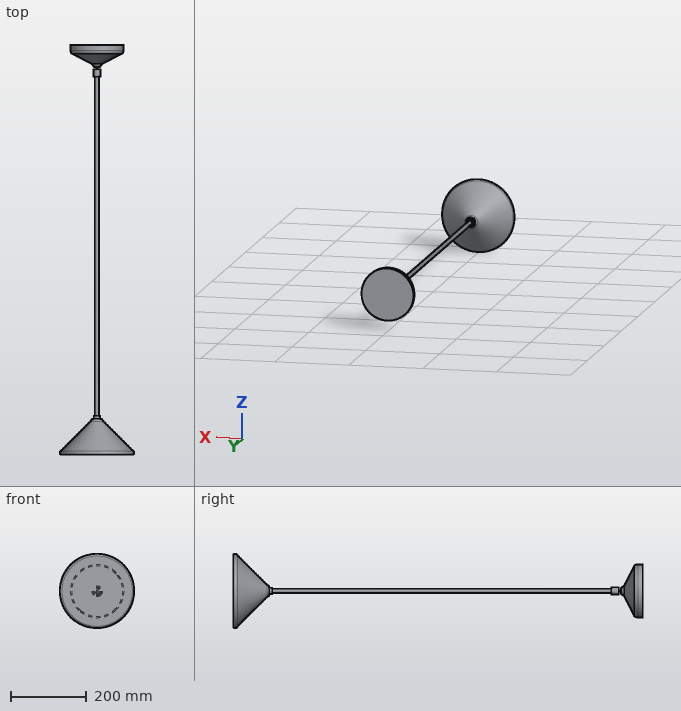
import cadquery as cq

total_length = 1082.0

shade_radius = 98.0
shade_face_radius = 93.0
rim_height = 11.0
rim_top_radius = 95.0
shoulder_start = 89.0
shoulder_radius = 17.0
shoulder_end = 95.0
shoulder_end_radius = 13.0
collar_radius = 9.0
shade_height = 104.0

rod_radius = 6.0
wire_radius = 2.0
ferrule_radius = 10.0
ferrule_length = 20.0
ferrule_depth = 83.0

canopy_radius = 70.0
drum_height = 14.0
canopy_edge_depth = 23.0
canopy_edge_radius = 67.0
nose_start_depth = 50.0
nose_start_radius = 14.0
nose_end_radius = 8.0
canopy_height = 58.0

shade_face_y = -total_length / 2
ceiling_y = total_length / 2


def turned(profile):
    """Revolve a closed (radius, y) half-profile about the lamp's Y axis."""
    return profile.close().revolve(360, (0, 0, 0), (0, 1, 0))


def cylinder(radius, start_y, end_y):
    """Solid cylinder on the Y axis between two Y positions."""
    return turned(
        cq.Workplane("XY")
        .moveTo(0, start_y)
        .lineTo(radius, start_y)
        .lineTo(radius, end_y)
        .lineTo(0, end_y)
    )


def make_shade():
    base = shade_face_y
    return turned(
        cq.Workplane("XY")
        .moveTo(0, base)
        .lineTo(shade_face_radius, base)
        .threePointArc((shade_radius, base + rim_height / 2), (rim_top_radius, base + rim_height))
        .lineTo(shoulder_radius, base + shoulder_start)
        .lineTo(shoulder_end_radius, base + shoulder_end)
        .lineTo(collar_radius, base + shoulder_end)
        .lineTo(collar_radius, base + shade_height)
        .lineTo(0, base + shade_height)
    )


def make_canopy():
    return turned(
        cq.Workplane("XY")
        .moveTo(0, ceiling_y)
        .lineTo(canopy_radius, ceiling_y)
        .lineTo(canopy_radius, ceiling_y - drum_height)
        .tangentArcPoint((canopy_edge_radius, ceiling_y - canopy_edge_depth), relative=False)
        .lineTo(nose_start_radius, ceiling_y - nose_start_depth)
        .lineTo(nose_end_radius, ceiling_y - canopy_height)
        .lineTo(0, ceiling_y - canopy_height)
    )


shade_top_y = shade_face_y + shade_height
canopy_bottom_y = ceiling_y - canopy_height
ferrule_start_y = ceiling_y - ferrule_depth
ferrule_end_y = ferrule_start_y + ferrule_length

rod = cylinder(rod_radius, shade_top_y, ferrule_start_y)
ferrule = cylinder(ferrule_radius, ferrule_start_y, ferrule_end_y)
wire = cylinder(wire_radius, ferrule_end_y, canopy_bottom_y)

result = make_shade().union(rod).union(ferrule).union(wire).union(make_canopy())